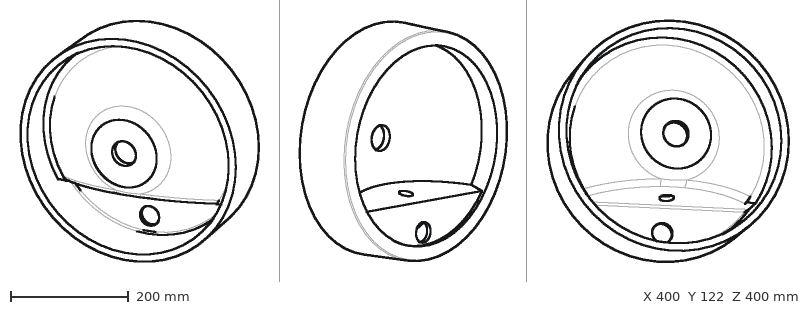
import cadquery as cq
import math

rim_radius = 200.0
rim_back_radius = 197.0
rim_depth = 105.0
rim_inner_radius = 187.0
rim_inner_root_radius = 184.0
rim_back_round = 2.0

wall = 8.0
dome_edge_radius = 169.0
dome_edge_y = 54.5
rim_root_y = 44.0
valley_radius = 178.0
valley_y = 60.0
cavity_radius = 172.0

hub_face_radius = 61.0
hub_face_y = -17.0
hub_base_radius = 79.0
hub_base_y = 1.0
bore_diameter = 44.0

pocket_floor_y = 90.0
pocket_top_z = -84.0
pocket_bottom_z = -103.0
pocket_floor_round = 3.5
wall_foot_round = 3.5
pocket_lip_round = 16.0
handle_hole_diameter = 35.0
handle_hole_z = -150.0
wall_hole_diameter = 24.5
wall_hole_y = 57.0

dome_rise = dome_edge_y - hub_base_y
center_drop = (dome_edge_radius**2 - hub_base_radius**2 + dome_rise**2) / (2 * dome_rise)
dome_center_y = hub_base_y + center_drop
dome_radius = math.hypot(hub_base_radius, center_drop)
pocket_slope = (pocket_bottom_z - pocket_top_z) / pocket_floor_y


def sphere_y(sphere_radius, radius):
    """Y of the front of a sphere about the dome centre, at a distance from the axis."""
    return dome_center_y - math.sqrt(sphere_radius**2 - radius**2)


def revolve_about_y(profile):
    return profile.close().revolve(360, (0, 0, 0), (0, 1, 0))


def wall_z(y, offset=0.0):
    """Height of the slanted pocket wall at depth y, moved square to the wall by offset."""
    return pocket_top_z + pocket_slope * y + offset * math.hypot(1, pocket_slope)


def below_wall(offset, front_y, back_y):
    """Block of everything below the slanted wall plane."""
    return (
        cq.Workplane("YZ")
        .moveTo(front_y, wall_z(front_y, offset))
        .lineTo(back_y, wall_z(back_y, offset))
        .lineTo(back_y, -rim_radius)
        .lineTo(front_y, -rim_radius)
        .close()
        .extrude(rim_radius, both=True)
    )


def make_rim():
    """Drafted rim with a solid disc behind the pocket floor."""
    floor_rim_radius = (
        rim_inner_radius
        + (rim_inner_root_radius - rim_inner_radius) * pocket_floor_y / rim_root_y
    )
    rim = revolve_about_y(
        cq.Workplane("XY")
        .moveTo(0, pocket_floor_y)
        .lineTo(floor_rim_radius, pocket_floor_y)
        .lineTo(rim_inner_radius, 0)
        .lineTo(rim_radius, 0)
        .lineTo(rim_back_radius, rim_depth)
        .lineTo(0, rim_depth)
    )
    floor_corner = cq.selectors.RadiusNthSelector(0)
    rim = rim.edges("%CIRCLE").edges(floor_corner).fillet(pocket_floor_round)
    return rim.edges(">Y").fillet(rim_back_round)


def make_dome():
    """Hub and dome, cut off at the slanted pocket wall, with the lip of the wall rounded."""
    middle_radius = (hub_base_radius + dome_edge_radius) / 2
    dome = revolve_about_y(
        cq.Workplane("XY")
        .moveTo(0, rim_depth)
        .lineTo(dome_edge_radius, rim_depth)
        .lineTo(dome_edge_radius, dome_edge_y)
        .threePointArc(
            (middle_radius, sphere_y(dome_radius, middle_radius)),
            (hub_base_radius, hub_base_y),
        )
        .tangentArcPoint((hub_face_radius, hub_face_y), relative=False)
        .lineTo(0, hub_face_y)
    )
    dome = dome.cut(below_wall(0, 2 * hub_face_y, 2 * rim_depth))
    lip_y = sphere_y(dome_radius, -pocket_top_z)
    lip = cq.selectors.NearestToPointSelector((0, lip_y, wall_z(lip_y)))
    return dome.edges(lip).fillet(pocket_lip_round)


def make_valley():
    """Rounded groove between the dome and the rim, above the pocket."""
    ring = revolve_about_y(
        cq.Workplane("XY")
        .moveTo(dome_edge_radius, dome_edge_y)
        .threePointArc((valley_radius, valley_y), (rim_inner_root_radius, rim_root_y))
        .lineTo(rim_radius - wall, rim_root_y)
        .lineTo(rim_radius - wall, rim_depth - wall)
        .lineTo(dome_edge_radius, rim_depth - wall)
    )
    lower_rim = below_wall(0, 0, rim_depth)
    return ring.cut(lower_rim)


def make_wall_foot():
    """Strip rounding the inner corner between the pocket wall and its floor."""
    tangent_y = pocket_floor_y - wall_foot_round
    start_y = tangent_y - wall_foot_round
    strip = (
        cq.Workplane("YZ")
        .moveTo(start_y, wall_z(start_y))
        .lineTo(tangent_y, wall_z(tangent_y))
        .tangentArcPoint(
            (pocket_floor_y, pocket_bottom_z - wall_foot_round * math.hypot(1, pocket_slope)),
            relative=False,
        )
        .lineTo(pocket_floor_y + wall / 2, pocket_bottom_z)
        .lineTo(pocket_floor_y, pocket_bottom_z + wall / 2)
        .close()
        .extrude(rim_radius, both=True)
    )
    inside_rim = cq.Workplane("XZ").circle(rim_radius - wall).extrude(-rim_depth)
    return strip.intersect(inside_rim)


def make_cavity():
    inner_radius = dome_radius - wall
    middle_radius = cavity_radius / 2
    cavity = revolve_about_y(
        cq.Workplane("XY")
        .moveTo(0, dome_center_y - inner_radius)
        .threePointArc(
            (middle_radius, sphere_y(inner_radius, middle_radius)),
            (cavity_radius, sphere_y(inner_radius, cavity_radius)),
        )
        .lineTo(cavity_radius, rim_depth)
        .lineTo(0, rim_depth)
    )
    return cavity.cut(below_wall(wall, hub_face_y, pocket_floor_y + wall))


def hole_along_y(diameter, z):
    return cq.Workplane("XZ", origin=(0, hub_face_y, z)).circle(diameter / 2).extrude(-2 * rim_depth)


body = make_rim().union(make_dome()).union(make_valley()).union(make_wall_foot())
body = body.cut(make_cavity())
body = body.cut(hole_along_y(bore_diameter, 0))
body = body.cut(hole_along_y(handle_hole_diameter, handle_hole_z))

wall_hole = (
    cq.Workplane("XY", origin=(0, wall_hole_y, wall_z(wall_hole_y, -wall)))
    .circle(wall_hole_diameter / 2)
    .extrude(4 * wall)
)
result = body.cut(wall_hole)